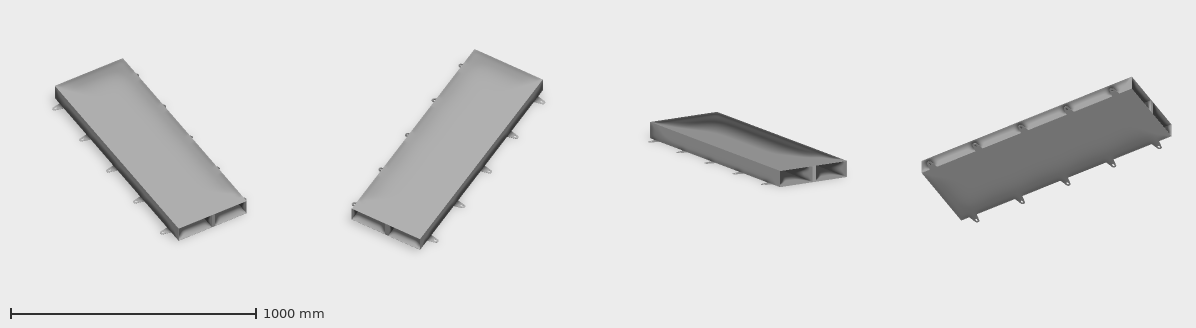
import cadquery as cq
import math

length = 990.0
duct_width = 323.0
height = 68.0
sheet_thickness = 1.0

rib_width = 15.0
rib_center_y = 4.0
rib_setback = 46.0

overall_width = 409.0
tab_count = 5
tab_pitch = 215.0
first_tab_inset = 55.0
tab_base_width = 35.0
tab_tip_radius = 10.0
slot_length = 13.0
slot_width = 7.0
slot_tip_distance = 15.0


def make_duct():
    outer = cq.Workplane("XY").box(length, duct_width, height, centered=(True, True, False))
    inner = (
        cq.Workplane("XY")
        .workplane(offset=sheet_thickness)
        .box(length, duct_width - 2 * sheet_thickness, height - 2 * sheet_thickness,
             centered=(True, True, False))
    )
    return outer.cut(inner)


def make_rib():
    rib_length = length - rib_setback
    return (
        cq.Workplane("XY")
        .center(rib_setback / 2, rib_center_y)
        .box(rib_length, rib_width, height, centered=(True, True, False))
    )


def make_tab(x):
    """Tab on the +Y side: straight flanks tangent to a round tip, with a slot along Y."""
    root_y = duct_width / 2 - sheet_thickness
    base_y = duct_width / 2
    tip_y = overall_width / 2
    tip_center_y = tip_y - tab_tip_radius
    half_base = tab_base_width / 2

    reach = tip_center_y - base_y
    corner_angle = math.atan2(reach, half_base)
    tangent_angle = math.acos(tab_tip_radius / math.hypot(half_base, reach)) - corner_angle
    tangent_x = tab_tip_radius * math.cos(tangent_angle)
    tangent_y = tip_center_y + tab_tip_radius * math.sin(tangent_angle)

    blank = (
        cq.Workplane("XY")
        .moveTo(x - half_base, root_y)
        .lineTo(x + half_base, root_y)
        .lineTo(x + half_base, base_y)
        .lineTo(x + tangent_x, tangent_y)
        .threePointArc((x, tip_y), (x - tangent_x, tangent_y))
        .lineTo(x - half_base, base_y)
        .close()
        .extrude(sheet_thickness)
    )
    slot = (
        cq.Workplane("XY")
        .center(x, tip_y - slot_tip_distance)
        .slot2D(slot_length, slot_width, 90)
        .extrude(sheet_thickness)
    )
    return blank.cut(slot)


result = make_duct().union(make_rib())
for index in range(tab_count):
    tab = make_tab(-length / 2 + first_tab_inset + index * tab_pitch)
    result = result.union(tab).union(tab.mirror("XZ"))